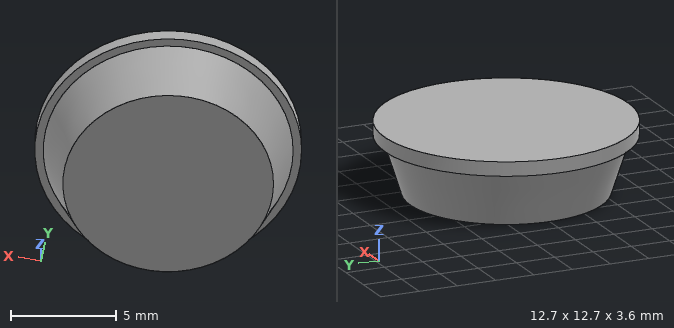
import cadquery as cq

flange_diameter = 12.7
total_height = 3.6
flange_thickness = 0.72
body_top_diameter = 11.89
body_bottom_diameter = 10.02

body_height = total_height - flange_thickness

body = (
    cq.Workplane("XY")
    .circle(body_bottom_diameter / 2)
    .workplane(offset=body_height)
    .circle(body_top_diameter / 2)
    .loft(ruled=True)
)

flange = (
    cq.Workplane("XY")
    .workplane(offset=body_height)
    .circle(flange_diameter / 2)
    .extrude(flange_thickness)
)

result = body.union(flange)